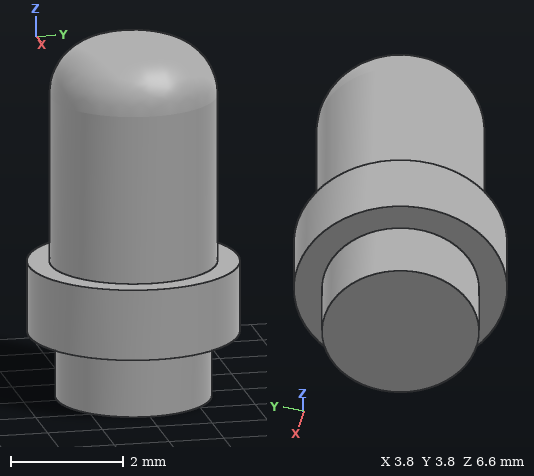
import cadquery as cq

total_height = 6.6

base_diameter = 2.8
base_height = 1.2

flange_diameter = 3.8
flange_height = 1.3

body_diameter = 3.0
body_height = total_height - base_height - flange_height
crown_radius = 1.0


def stacked_cylinder(diameter, height, bottom):
    """Cylinder on the Z axis, rising from the given bottom level."""
    return cq.Workplane("XY").workplane(offset=bottom).circle(diameter / 2).extrude(height)


base = stacked_cylinder(base_diameter, base_height, 0)
flange = stacked_cylinder(flange_diameter, flange_height, base_height)
body = stacked_cylinder(body_diameter, body_height, base_height + flange_height)
rounded_body = body.faces(">Z").edges().fillet(crown_radius)

result = base.union(flange).union(rounded_body)